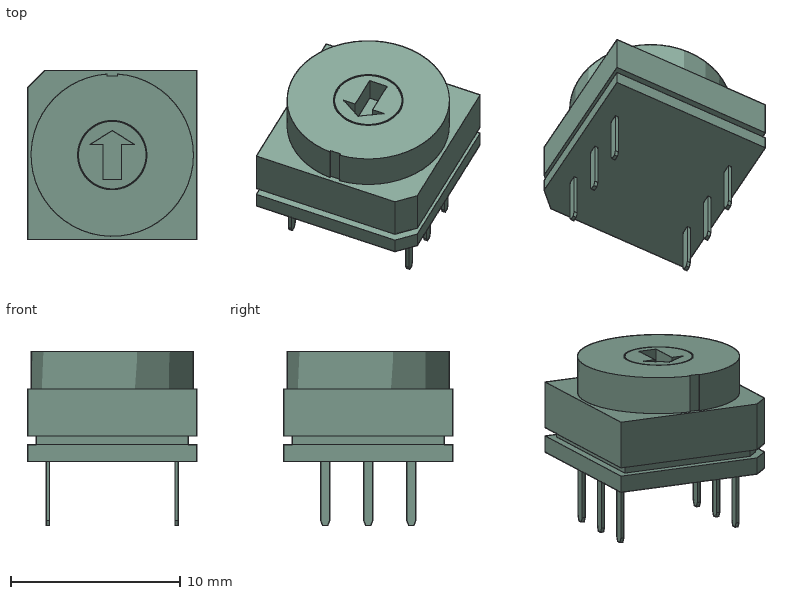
import cadquery as cq

total_height = 10.3
body_side = 10.0
corner_chamfer = 1.0

base_height = 1.0
groove_height = 0.5
housing_height = 2.8
dial_height = 2.2
pin_length = total_height - (base_height + groove_height + housing_height + dial_height)

groove_bottom = base_height
housing_bottom = groove_bottom + groove_height
dial_bottom = housing_bottom + housing_height
dial_top = dial_bottom + dial_height

groove_depth = 0.5

dial_diameter = 9.6
notch_width = 0.63
notch_depth = 0.12

rotor_diameter = 4.0
ring_outer_diameter = 4.1
ring_depth = 0.1

arrow_tip = 1.45
arrow_head_length = 0.82
arrow_head_width = 2.62
arrow_shaft_width = 1.12
arrow_depth = 1.5

pin_thickness = 0.21
pin_width = 0.55
pin_pitch = 2.54
pin_row_spacing = 7.62
pins_per_row = 3
pin_tip_length = 0.3
pin_tip_width = 0.3


def chamfered_square(inset):
    """Square outline, moved inward by inset, with one corner cut off at (-X, +Y)."""
    side = body_side - 2 * inset
    cut = corner_chamfer - inset * (2 - 2 ** 0.5)
    half = side / 2
    return cq.Workplane("XY").polyline([
        (-half, -half),
        (half, -half),
        (half, half),
        (-half + cut, half),
        (-half, half - cut),
    ]).close()


def make_body():
    base = chamfered_square(0).extrude(base_height)
    core = chamfered_square(groove_depth).extrude(groove_height)
    housing = chamfered_square(0).extrude(housing_height)
    core = core.translate((0, 0, groove_bottom))
    housing = housing.translate((0, 0, housing_bottom))
    return base.union(core).union(housing)


def make_dial():
    dial = cq.Workplane("XY").circle(dial_diameter / 2).extrude(dial_height)
    notch = (
        cq.Workplane("XY")
        .center(0, dial_diameter / 2)
        .rect(notch_width, 2 * notch_depth)
        .extrude(dial_height)
    )
    return dial.cut(notch).translate((0, 0, dial_bottom))


def make_ring_groove():
    return (
        cq.Workplane("XY", origin=(0, 0, dial_top))
        .circle(ring_outer_diameter / 2)
        .circle(rotor_diameter / 2)
        .extrude(-ring_depth)
    )


def make_arrow_pocket():
    """Arrow pointing to +Y, centred on the dial."""
    head_base = arrow_tip - arrow_head_length
    half_head = arrow_head_width / 2
    half_shaft = arrow_shaft_width / 2
    return (
        cq.Workplane("XY", origin=(0, 0, dial_top))
        .polyline([
            (0, arrow_tip),
            (half_head, head_base),
            (half_shaft, head_base),
            (half_shaft, -arrow_tip),
            (-half_shaft, -arrow_tip),
            (-half_shaft, head_base),
            (-half_head, head_base),
        ])
        .close()
        .extrude(-arrow_depth)
    )


def make_pins():
    """Flat pins with tapered tips, hanging from the bottom of the base."""
    half_width = pin_width / 2
    half_tip = pin_tip_width / 2
    taper_start = pin_tip_length - pin_length
    places = [
        (column * pin_row_spacing / 2, (index - (pins_per_row - 1) / 2) * pin_pitch)
        for column in (-1, 1)
        for index in range(pins_per_row)
    ]
    pin = (
        cq.Workplane("YZ")
        .polyline([
            (-half_width, 0),
            (-half_width, taper_start),
            (-half_tip, -pin_length),
            (half_tip, -pin_length),
            (half_width, taper_start),
            (half_width, 0),
        ])
        .close()
        .extrude(pin_thickness / 2, both=True)
    )
    return [pin.translate((x, y, 0)) for x, y in places]


result = make_body().union(make_dial())
result = result.cut(make_ring_groove()).cut(make_arrow_pocket())
for pin in make_pins():
    result = result.union(pin)